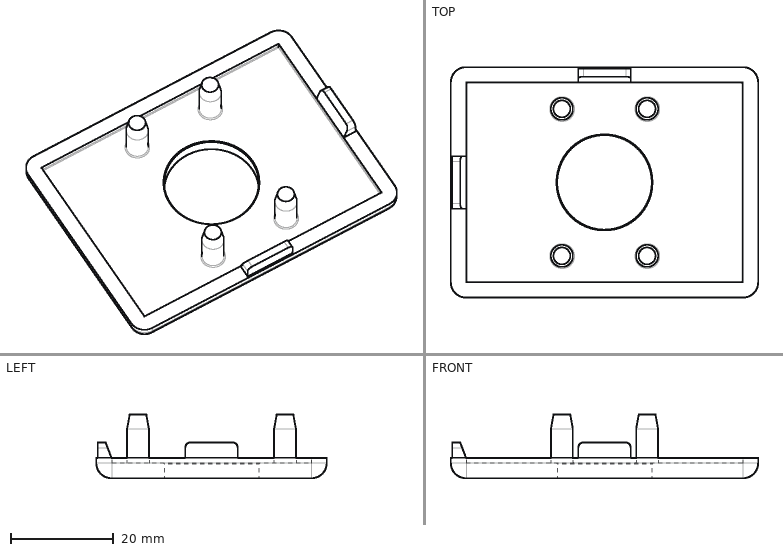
import cadquery as cq

LENGTH = 60.0
WIDTH = 45.0
PLATE_HEIGHT = 4.0
EDGE_RADIUS = 3.0
OVERALL_HEIGHT = 12.5

RIM_WIDTH = 3.0
RECESS_DEPTH = 1.0
RECESS_FILLET = 0.2
FLOOR_Z = PLATE_HEIGHT - RECESS_DEPTH

HOLE_DIAMETER = 18.4
HOLE_CHAMFER = 0.2

PEG_SPACING_X = 16.6
PEG_SPACING_Y = 28.7
PEG_DIAMETER = 4.3
PEG_TIP_DIAMETER = 3.3
PEG_TIP_LENGTH = 2.8
PEG_FOOT_FILLET = 0.25

CLIP_LENGTH = 10.25
CLIP_HEIGHT = 3.0
CLIP_TOP_THICKNESS = 1.55
CLIP_BASE_THICKNESS = 2.7
CLIP_CORNER_RADIUS = 1.0
CLIP_INSET = 0.3


def make_plate():
    """Rounded plate with a full-radius lower edge, a recessed floor and a central opening."""
    plate = (
        cq.Workplane("XY")
        .box(LENGTH, WIDTH, PLATE_HEIGHT, centered=(True, True, False))
        .edges("|Z or <Z")
        .fillet(EDGE_RADIUS)
    )
    recess = (
        cq.Workplane("XY", origin=(0, 0, FLOOR_Z))
        .box(LENGTH - 2 * RIM_WIDTH, WIDTH - 2 * RIM_WIDTH, RECESS_DEPTH, centered=(True, True, False))
        .faces("<Z")
        .edges()
        .fillet(RECESS_FILLET)
    )
    opening = (
        cq.Workplane("XZ")
        .lineTo(HOLE_DIAMETER / 2, 0)
        .lineTo(HOLE_DIAMETER / 2, FLOOR_Z - HOLE_CHAMFER)
        .lineTo(HOLE_DIAMETER / 2 + HOLE_CHAMFER, FLOOR_Z)
        .lineTo(0, FLOOR_Z)
        .close()
        .revolve(360, (0, 0, 0), (0, 1, 0))
    )
    return plate.cut(recess).cut(opening)


def make_peg():
    """Turned peg standing on the recess floor: filleted foot, straight shank, tapered tip."""
    shank_radius = PEG_DIAMETER / 2
    return (
        cq.Workplane("XZ")
        .moveTo(0, FLOOR_Z)
        .lineTo(shank_radius + PEG_FOOT_FILLET, FLOOR_Z)
        .radiusArc((shank_radius, FLOOR_Z + PEG_FOOT_FILLET), PEG_FOOT_FILLET)
        .lineTo(shank_radius, OVERALL_HEIGHT - PEG_TIP_LENGTH)
        .lineTo(PEG_TIP_DIAMETER / 2, OVERALL_HEIGHT)
        .lineTo(0, OVERALL_HEIGHT)
        .close()
        .revolve(360, (0, 0, 0), (0, 1, 0))
    )


def make_clip():
    """Clip along Y with its upright outer face on X = 0 and its inner face sloping toward +X."""
    return (
        cq.Workplane("XZ", origin=(0, CLIP_LENGTH / 2, PLATE_HEIGHT))
        .polyline(
            [
                (0, 0),
                (CLIP_BASE_THICKNESS, 0),
                (CLIP_TOP_THICKNESS, CLIP_HEIGHT),
                (0, CLIP_HEIGHT),
            ]
        )
        .close()
        .extrude(CLIP_LENGTH)
        .faces(">Z")
        .edges("|X")
        .fillet(CLIP_CORNER_RADIUS)
    )


left_clip = make_clip().translate((CLIP_INSET - LENGTH / 2, 0, 0))
back_clip = (
    make_clip()
    .rotate((0, 0, 0), (0, 0, 1), -90)
    .translate((0, WIDTH / 2 - CLIP_INSET, 0))
)

result = make_plate().union(left_clip).union(back_clip)
for side_x in (-1, 1):
    for side_y in (-1, 1):
        peg_position = (side_x * PEG_SPACING_X / 2, side_y * PEG_SPACING_Y / 2, 0)
        result = result.union(make_peg().translate(peg_position))